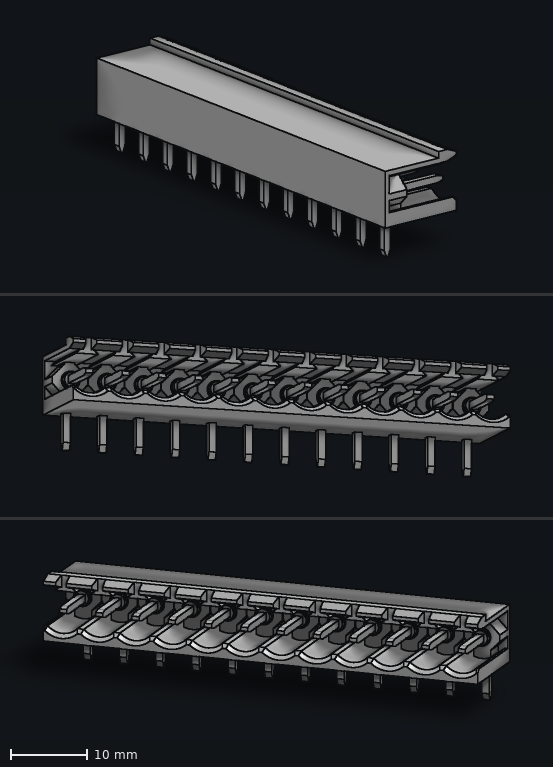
import cadquery as cq


length = 60.85
depth = 12.0
height = 7.85
floor_thickness = 2.0
back_thickness = 0.7
roof_thickness = 0.7
mouth_chamfer = 0.55

lip_top = 8.75
lip_back = 8.95
lip_crest = 10.4
lip_nose_top = 8.15
lip_nose_bottom = 7.65

contact_count = 12
pin_width = 1.05
pin_height = 4.15
pin_end = 11.25
pin_tip_length = 0.85
pin_tip_width = 0.55
tail_center = 1.95
tail_end = -4.85
tail_tip_length = 1.0
tail_tip_width = 0.3

pedestal_front = 3.65
pedestal_width = 5.0
pedestal_flat = 0.9
pedestal_top = 6.4
pedestal_bottom = 2.4
collar_diameter = 2.4
collar_length = 0.7
collar_chamfer = 0.2

rib_depth = 0.55
rib_root_width = 1.95
rib_crest_width = 3.05
slot_mouth_width = 1.5
slot_inner_width = 1.1
slot_back = 10.35

trough_radius = 3.0

ceiling = height - roof_thickness

pitch = (length - pedestal_width) / (contact_count - 1)
contact_positions = [pedestal_width / 2 + i * pitch for i in range(contact_count)]


def extrude_along_y(points, end):
    """Extrude the XZ outline through the given points from the back face to Y = end."""
    return cq.Workplane("XZ").polyline(points).close().extrude(-end)


def make_housing():
    """C-shaped housing section, open at the mouth, with the latch lip on its roof."""
    outline = [
        (0, 0),
        (depth, 0),
        (depth, floor_thickness - mouth_chamfer),
        (depth - mouth_chamfer, floor_thickness),
        (back_thickness, floor_thickness),
        (back_thickness, ceiling),
        (lip_crest, ceiling),
        (depth, lip_nose_bottom),
        (depth, lip_nose_top),
        (lip_crest, lip_top),
        (lip_back, lip_top),
        (lip_back, height),
        (0, height),
    ]
    return cq.Workplane("YZ").polyline(outline).close().extrude(length)


def make_trough(x):
    """Half-round groove on the axis of a contact, flared where it meets the mouth chamfer."""
    outline = [
        (0, back_thickness),
        (trough_radius, back_thickness),
        (trough_radius, depth - mouth_chamfer),
        (trough_radius + mouth_chamfer, depth),
        (0, depth),
    ]
    return (
        cq.Workplane("XY", origin=(x, 0, pin_height))
        .polyline(outline)
        .close()
        .revolve(180, (0, 0), (0, 1))
    )


def make_lip_slot(x):
    """Slot through the lip, widening toward the mouth."""
    inner = slot_inner_width / 2
    mouth = slot_mouth_width / 2
    outline = [(x - inner, slot_back), (x + inner, slot_back), (x + mouth, depth), (x - mouth, depth)]
    return (
        cq.Workplane("XY", origin=(0, 0, ceiling))
        .polyline(outline)
        .close()
        .extrude(lip_top - ceiling)
    )


def make_rib(x):
    """Dovetail rib hanging from the roof, wider at its lower face."""
    root = rib_root_width / 2
    crest = rib_crest_width / 2
    bottom = ceiling - rib_depth
    points = [(x - root, ceiling), (x - crest, bottom), (x + crest, bottom), (x + root, ceiling)]
    return extrude_along_y(points, slot_back)


def make_pedestal(x):
    """Post with 45 degree shoulders that carries one contact."""
    half = pedestal_width / 2
    flat_top = pin_height + pedestal_flat / 2
    flat_bottom = pin_height - pedestal_flat / 2
    top_half = half - (pedestal_top - flat_top)
    bottom_half = half - (flat_bottom - pedestal_bottom)
    right_side = [
        (x + bottom_half, 0),
        (x + bottom_half, pedestal_bottom),
        (x + half, flat_bottom),
        (x + half, flat_top),
        (x + top_half, pedestal_top),
        (x + top_half, ceiling),
    ]
    left_side = [(2 * x - side_x, side_z) for side_x, side_z in reversed(right_side)]
    return extrude_along_y(right_side + left_side, pedestal_front)


def make_collar(x):
    """Round collar with a chamfered rim where the pin leaves its pedestal."""
    return (
        cq.Workplane("XZ", origin=(x, pedestal_front, pin_height))
        .circle(collar_diameter / 2)
        .extrude(-collar_length)
        .faces(">Y")
        .chamfer(collar_chamfer)
    )


def make_contact(x):
    """Square right-angle pin with a wedge-shaped tip at each end."""
    half = pin_width / 2
    tip = pin_tip_width / 2
    tail_tip = tail_tip_width / 2
    outline = [
        (tail_center - half, pin_height + half),
        (pin_end - pin_tip_length, pin_height + half),
        (pin_end, pin_height + tip),
        (pin_end, pin_height - tip),
        (pin_end - pin_tip_length, pin_height - half),
        (tail_center + half, pin_height - half),
        (tail_center + half, tail_end + tail_tip_length),
        (tail_center + tail_tip, tail_end),
        (tail_center - tail_tip, tail_end),
        (tail_center - half, tail_end + tail_tip_length),
    ]
    return cq.Workplane("YZ", origin=(x, 0, 0)).polyline(outline).close().extrude(half, both=True)


result = make_housing()
for x in contact_positions:
    result = result.cut(make_trough(x)).cut(make_lip_slot(x))
for x in contact_positions:
    result = result.union(make_rib(x)).union(make_pedestal(x))
    result = result.union(make_collar(x)).union(make_contact(x))